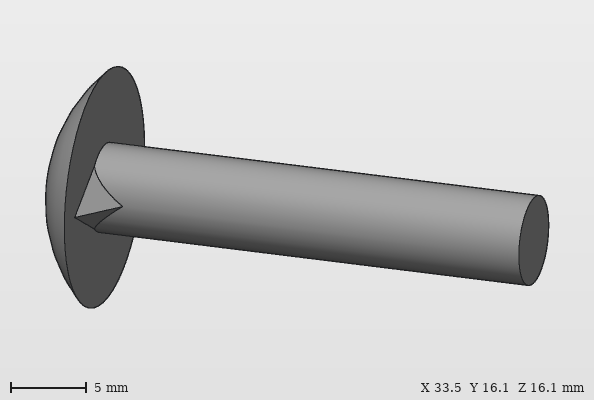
import cadquery as cq
import math

total_length = 33.48
head_diameter = 16.07
head_height = 3.48
shank_diameter = 6.0
nib_reach = 5.95
nib_length = 2.3
nib_root = 2.0

head_radius = head_diameter / 2
shank_radius = shank_diameter / 2
crown_x = -total_length / 2
seat_x = crown_x + head_height
end_x = total_length / 2


def make_bolt_body():
    """Domed head and shank, revolved as one profile."""
    dome_radius = (head_radius**2 + head_height**2) / (2 * head_height)
    half_angle = math.asin(head_radius / dome_radius) / 2
    dome_middle = (
        crown_x + dome_radius * (1 - math.cos(half_angle)),
        dome_radius * math.sin(half_angle),
    )
    return (
        cq.Workplane("XY")
        .moveTo(crown_x, 0)
        .threePointArc(dome_middle, (seat_x, head_radius))
        .lineTo(seat_x, shank_radius)
        .lineTo(end_x, shank_radius)
        .lineTo(end_x, 0)
        .close()
        .revolve(360, (0, 0, 0), (1, 0, 0))
    )


def make_nib():
    """Triangular pyramid under the head, with its back buried in the shank."""
    half_width = math.sqrt(shank_radius**2 - nib_root**2)
    ridge_slope = nib_length / (nib_reach - shank_radius)
    apex_x = seat_x + ridge_slope * (nib_reach - nib_root)

    tip = cq.Vector(seat_x, -nib_reach, 0)
    upper = cq.Vector(seat_x, -nib_root, half_width)
    lower = cq.Vector(seat_x, -nib_root, -half_width)
    apex = cq.Vector(apex_x, -nib_root, 0)

    corners = [
        (tip, lower, upper),
        (tip, upper, apex),
        (tip, apex, lower),
        (upper, lower, apex),
    ]
    faces = [
        cq.Face.makeFromWires(cq.Wire.makePolygon(triangle, close=True))
        for triangle in corners
    ]
    return cq.Solid.makeSolid(cq.Shell.makeShell(faces))


result = make_bolt_body().union(cq.Workplane(obj=make_nib()))